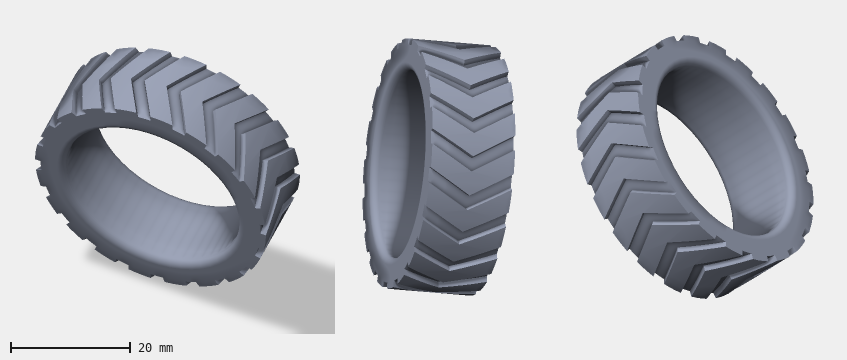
import cadquery as cq
import math

outer_diameter = 42.0
width = 14.4
bore_diameter = 31.6
bore_fillet = 1.18

lug_count = 20
lug_height = 1.0
lug_thickness = 4.0
chevron_angle = 30.0

outer_radius = outer_diameter / 2
bore_radius = bore_diameter / 2
base_radius = outer_radius - lug_height
half_width = width / 2
chevron_drop = half_width * math.tan(math.radians(chevron_angle))
lug_pitch = 360.0 / lug_count


def disc(radius):
    """Solid disc of the full wheel width on the Y axis."""
    return cq.Workplane("XZ").circle(radius).extrude(half_width, both=True)


def lug():
    """Chevron block on the -X side with its point toward -Z, ending at the outer cylinder."""
    outline = [
        (-half_width, 0),
        (0, -chevron_drop),
        (half_width, 0),
        (half_width, lug_thickness),
        (0, lug_thickness - chevron_drop),
        (-half_width, lug_thickness),
    ]
    root = (base_radius + bore_radius) / 2
    block = (
        cq.Workplane("YZ", origin=(-outer_radius, 0, 0))
        .polyline(outline)
        .close()
        .extrude(outer_radius - root)
    )
    return block.intersect(disc(outer_radius))


def tread():
    """Plain base disc with the lugs spaced evenly around it."""
    body = disc(base_radius)
    single_lug = lug()
    for index in range(lug_count):
        body = body.union(single_lug.rotate((0, 0, 0), (0, 1, 0), index * lug_pitch))
    return body


def bore_cutter():
    """Through bore that flares into a rounded edge at both side faces."""
    flare_radius = bore_radius + bore_fillet
    straight_half = half_width - bore_fillet
    arc_offset = bore_fillet * math.sqrt(0.5)
    arc_radius = flare_radius - arc_offset
    arc_y = straight_half + arc_offset
    return (
        cq.Workplane("XY")
        .moveTo(0, -half_width)
        .lineTo(flare_radius, -half_width)
        .threePointArc((arc_radius, -arc_y), (bore_radius, -straight_half))
        .lineTo(bore_radius, straight_half)
        .threePointArc((arc_radius, arc_y), (flare_radius, half_width))
        .lineTo(0, half_width)
        .close()
        .revolve(360, (0, 0, 0), (0, 1, 0))
    )


result = tread().cut(bore_cutter())